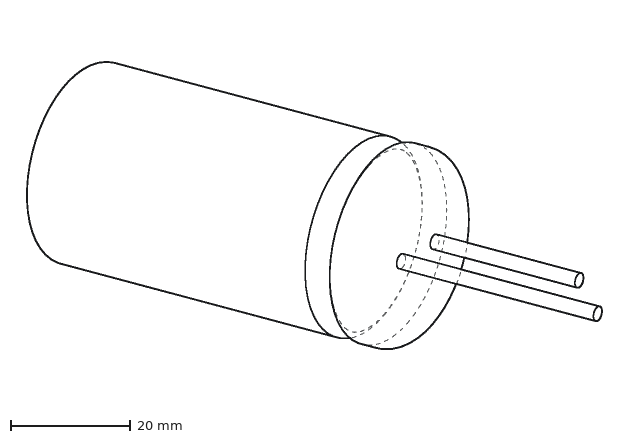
import cadquery as cq

can_radius = 17.5
can_length = 68.0
closed_end_fillet = 1.1
lead_end_fillet = 3.1

groove_start = 57.0
groove_width = 5.0
groove_depth = 1.6
groove_middle = groove_start + groove_width / 2
groove_end = groove_start + groove_width

lead_diameter = 2.6
lead_spacing = 10.0
long_lead_tip = 108.0
short_lead_tip = 97.4


def make_can():
    """Revolve a rectangle with a circular-arc groove, then round both rims."""
    profile = (
        cq.Workplane("XY")
        .lineTo(0, can_radius)
        .lineTo(groove_start, can_radius)
        .threePointArc((groove_middle, can_radius - groove_depth), (groove_end, can_radius))
        .lineTo(can_length, can_radius)
        .lineTo(can_length, 0)
        .close()
    )
    can = profile.revolve(360, (0, 0, 0), (1, 0, 0))
    can = can.faces("<X").edges().fillet(closed_end_fillet)
    return can.faces(">X").edges().fillet(lead_end_fillet)


def make_lead(y_position, tip):
    """A round wire from the can's lead end to the given X position."""
    return (
        cq.Workplane("YZ", origin=(can_length, y_position, 0))
        .circle(lead_diameter / 2)
        .extrude(tip - can_length)
    )


long_lead = make_lead(-lead_spacing / 2, long_lead_tip)
short_lead = make_lead(lead_spacing / 2, short_lead_tip)
result = make_can().union(long_lead).union(short_lead)